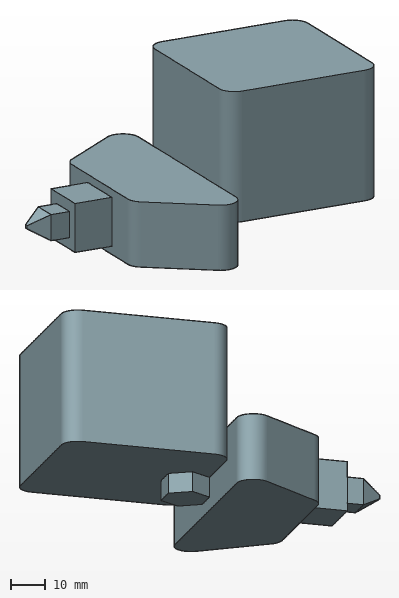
import cadquery as cq
import math


body_back_width = 80.0
body_front_width = 40.0
body_side_angle = 55.0
body_height = 20.0
body_corner_radius = 5.0
body_inset = (body_back_width - body_front_width) / 2
body_depth = body_inset * math.tan(math.radians(body_side_angle))

housing_side = 50.0
housing_height = 40.0
housing_bottom = 10.0
housing_corner_radius = 5.0

nozzle_axis_z = body_height / 2
block_side = 15.0
block_length = 12.0
stem_side = 8.0
stem_length = 6.0
tip_length = 6.0
tip_taper = 30.0

hex_across_flats = 12.5
hex_height = 6.0
hex_across_corners = hex_across_flats / math.cos(math.pi / 6)

body_front = -body_depth
block_front = body_front - block_length
stem_front = block_front - stem_length


def section_facing_front(face_y, side):
    """Square sketch on the nozzle axis, with its normal pointing to -Y."""
    plane = cq.Workplane("XZ", origin=(0, face_y, nozzle_axis_z))
    return plane.rect(side, side)


def make_body():
    outline = [
        (-body_back_width / 2, 0),
        (-body_front_width / 2, body_front),
        (body_front_width / 2, body_front),
        (body_back_width / 2, 0),
    ]
    body = cq.Workplane("XY").polyline(outline).close().extrude(body_height)
    return body.edges("|Z").fillet(body_corner_radius)


def make_housing():
    plane = cq.Workplane("XY", origin=(0, housing_side / 2, housing_bottom))
    housing = plane.rect(housing_side, housing_side).extrude(housing_height)
    return housing.edges("|Z").fillet(housing_corner_radius)


def make_hex_boss():
    plane = cq.Workplane("XY", origin=(0, hex_across_flats / 2, housing_bottom))
    return plane.polygon(6, hex_across_corners).extrude(-hex_height)


def make_nozzle():
    block = section_facing_front(body_front, block_side).extrude(block_length)
    stem = section_facing_front(block_front, stem_side).extrude(stem_length)
    tip = section_facing_front(stem_front, stem_side).extrude(tip_length, taper=tip_taper)
    return block.union(stem).union(tip)


result = make_body().union(make_housing()).union(make_hex_boss()).union(make_nozzle())